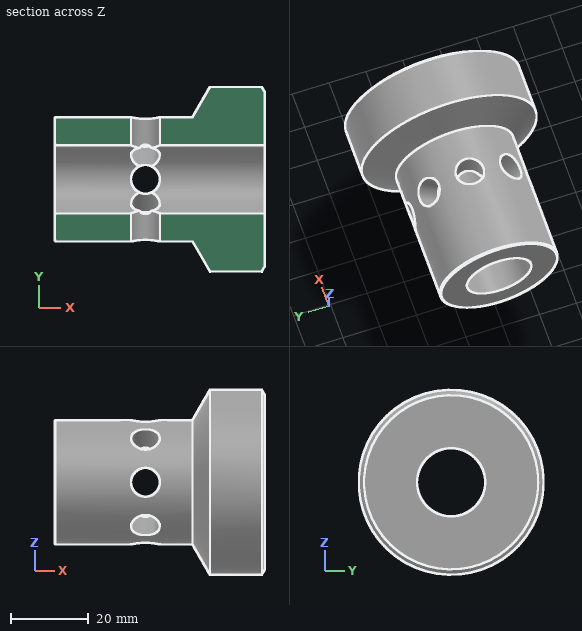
import cadquery as cq
import math

length = 54.1
head_diameter = 47.6
body_diameter = 32.05
bore_diameter = 17.5

taper_angle = 60.0
head_start = 39.9
bevel_length = 0.8
body_edge_chamfer = 0.25

hole_count = 8
hole_diameter = 7.35
hole_ring_x = 23.35

head_radius = head_diameter / 2
body_radius = body_diameter / 2
taper_slope = math.tan(math.radians(taper_angle))
cone_length = (head_radius - body_radius) / taper_slope


def turned_body():
    """Solid of revolution: body, cone and head."""
    return (
        cq.Workplane("XY")
        .moveTo(0, 0)
        .lineTo(0, body_radius - body_edge_chamfer)
        .lineTo(body_edge_chamfer, body_radius)
        .lineTo(head_start - cone_length, body_radius)
        .lineTo(head_start, head_radius)
        .lineTo(length - bevel_length, head_radius)
        .lineTo(length, head_radius - bevel_length * taper_slope)
        .lineTo(length, 0)
        .close()
        .revolve(360, (0, 0, 0), (1, 0, 0))
    )


def bore():
    """Straight bore through the whole length."""
    return cq.Workplane("YZ").circle(bore_diameter / 2).extrude(length)


def radial_hole(angle):
    """Cylinder from the axis out through the wall, turned about X by the given angle."""
    return (
        cq.Workplane("XY")
        .center(hole_ring_x, 0)
        .circle(hole_diameter / 2)
        .extrude(body_diameter)
        .rotate((0, 0, 0), (1, 0, 0), angle)
    )


result = turned_body().cut(bore())
for index in range(hole_count):
    result = result.cut(radial_hole(index * 360 / hole_count))